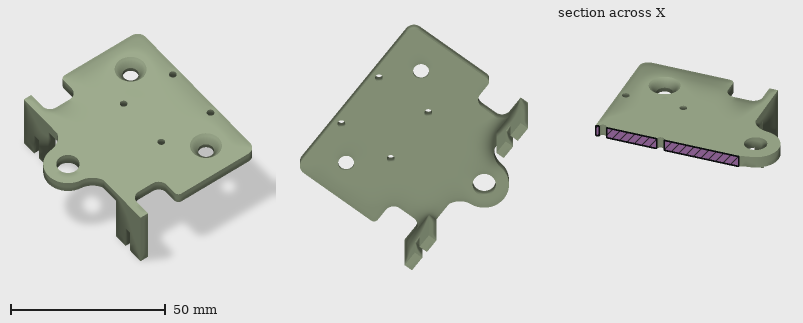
import cadquery as cq
import math

width = 62.0
length = 60.0
thickness = 4.0
rear_y = length / 2
rear_corner_radius = 3.2
side_corner_radius = 1.6

overall_height = 22.21
leg_width = 13.0
leg_thickness = 3.0
leg_bottom_z = thickness - overall_height
slot_width = 2.5
slot_height = 9.15
slot_inset = 5.5

notch_depth = 9.0
notch_rear_y = rear_y - 32.0
notch_length = 12.0
notch_front_y = notch_rear_y - notch_length
notch_radius = 3.2
front_y = notch_front_y - leg_thickness

lug_x = -1.0
lug_radius = 8.0
lug_y = -length / 2 + lug_radius
lug_hole_diameter = 7.5
lug_blend_radius = 6.9
lug_blend_centre_drop = 1.4

mount_spacing = 40.0
mount_y = rear_y - 12.0
mount_diameter = 5.2
countersink_diameter = 10.3
countersink_angle = 90.0

small_diameter = 2.5
small_spacing = 20.0
small_centre_y = rear_y - 12.5


def make_plate():
    """Plate with rounded rear corners, side notches and a solid front strip."""
    plate_length = rear_y - front_y
    plate = cq.Workplane("XY").box(width, plate_length, thickness, centered=(True, False, False))
    plate = plate.translate((0, front_y, 0))
    plate = plate.edges("|Z and >Y").fillet(rear_corner_radius)
    for side in (-1, 1):
        cutter = (
            cq.Workplane("XY")
            .center(side * width / 2, (notch_rear_y + notch_front_y) / 2)
            .rect(2 * notch_depth, notch_length)
            .extrude(thickness)
            .edges("|Z")
            .fillet(notch_radius)
        )
        plate = plate.cut(cutter)
        rear_notch_corner = cq.selectors.NearestToPointSelector((side * width / 2, notch_rear_y, thickness / 2))
        plate = plate.edges("|Z").edges(rear_notch_corner).fillet(side_corner_radius)
    return plate


def make_lug():
    """Round lug joined to the front edge by concave arcs tangent to the lug."""
    centre_distance = lug_radius + lug_blend_radius
    blend_y = lug_y - lug_blend_centre_drop
    blend_dx = math.sqrt(centre_distance**2 - lug_blend_centre_drop**2)
    tangent_dx = blend_dx * lug_radius / centre_distance
    tangent_y = lug_y - lug_blend_centre_drop * lug_radius / centre_distance

    start_angle = math.asin((front_y - blend_y) / lug_blend_radius)
    end_angle = math.asin(lug_blend_centre_drop / centre_distance)
    middle_angle = (start_angle + end_angle) / 2
    start_dx = blend_dx - lug_blend_radius * math.cos(start_angle)
    middle_dx = blend_dx - lug_blend_radius * math.cos(middle_angle)
    middle_y = blend_y + lug_blend_radius * math.sin(middle_angle)

    return (
        cq.Workplane("XY")
        .moveTo(lug_x - start_dx, front_y)
        .threePointArc((lug_x - middle_dx, middle_y), (lug_x - tangent_dx, tangent_y))
        .threePointArc((lug_x, lug_y - lug_radius), (lug_x + tangent_dx, tangent_y))
        .threePointArc((lug_x + middle_dx, middle_y), (lug_x + start_dx, front_y))
        .close()
        .extrude(thickness)
    )


def make_leg(side):
    """Leg hanging from one end of the front strip, slotted from below."""
    leg_x = side * (width - leg_width) / 2
    slot_x = side * (width / 2 - slot_inset - slot_width / 2)
    centred_in_x = (True, False, False)
    leg = cq.Workplane("XY").box(leg_width, leg_thickness, overall_height, centered=centred_in_x)
    slot = cq.Workplane("XY").box(slot_width, leg_thickness, slot_height, centered=centred_in_x)
    leg = leg.translate((leg_x, front_y, leg_bottom_z))
    return leg.cut(slot.translate((slot_x, front_y, leg_bottom_z)))


def drill_holes(body):
    """Lug hole, countersunk mounting holes and the square of small holes."""
    top = cq.Workplane("XY", origin=(0, 0, thickness))
    body = body.cut(top.center(lug_x, lug_y).circle(lug_hole_diameter / 2).extrude(-thickness))
    small_holes = (
        top.center(0, small_centre_y)
        .rect(small_spacing, small_spacing, forConstruction=True)
        .vertices()
        .circle(small_diameter / 2)
        .extrude(-thickness)
    )
    body = body.cut(small_holes)
    mounts = [(-mount_spacing / 2, mount_y), (mount_spacing / 2, mount_y)]
    return body.copyWorkplane(top).pushPoints(mounts).cskHole(
        mount_diameter, countersink_diameter, countersink_angle
    )


body = make_plate().union(make_lug())
for side in (-1, 1):
    body = body.union(make_leg(side))
result = drill_holes(body.clean())